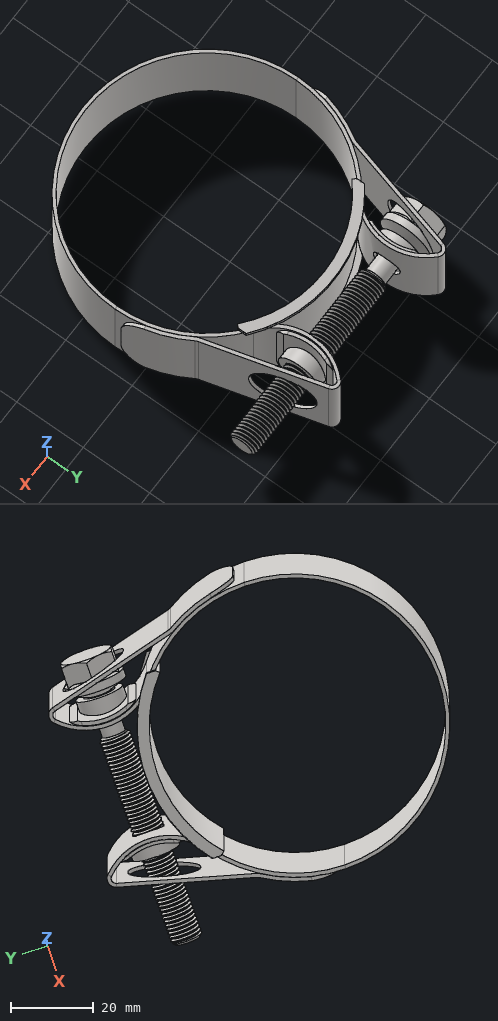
import cadquery as cq
import math


strap_width = 25.1
strap_thickness = 1.0
ring_inner_radius = 36.5
ring_outer_radius = ring_inner_radius + strap_thickness
hook_inner_radius = 15.65
hook_outer_radius = hook_inner_radius + strap_thickness
loop_outer_radius = 2.2
loop_inner_radius = loop_outer_radius - strap_thickness
leg_tilt = 15.1
heel_radius = 2.8
tail_gap = 0.05
tail_inner_radius = ring_outer_radius + tail_gap
tail_outer_radius = tail_inner_radius + strap_thickness
tail_tip_y = 2.6
tail_corner_length = 6.1
tail_corner_width = 8.9

bolt_y = 42.9
thread_radius = 4.0
thread_pitch = 1.0
thread_depth = 0.61
thread_chamfer = 0.9
root_radius = thread_radius - thread_depth
root_overlap = 0.05
ridge_half_width = 0.48 * thread_pitch
crest_half_width = 0.06 * thread_pitch
turns_per_slice = 11
envelope_margin = 0.05
sewing_tolerance = 0.001
thread_start_x = -10.2
bolt_end_x = 44.1
shank_radius = 3.0
hex_across_flats = 12.95
hex_start_x = -30.8
collar_start_x = -25.7
collar_rim_start_x = -24.9
collar_rim_end_x = -22.7
collar_start_radius = 6.7
collar_radius = 7.5
hex_chamfer_angle = 30.0

saddle_face_x = -20.9
saddle_chord_x = -18.3
saddle_thickness = 1.0
saddle_width = 23.3
saddle_corner_radius = 2.8
boss_radius = 6.1

leg_hole_radius = 8.1
leg_hole_stretch = 0.9

bridge_thickness = 1.2
bridge_inner_radius = ring_inner_radius - bridge_thickness
bridge_flange_radius = 38.3
bridge_half_length = 24.2

hook_y = bolt_y
hook_x = -math.sqrt((hook_inner_radius + ring_outer_radius) ** 2 - hook_y**2)
hook_angle = math.degrees(math.atan2(hook_y, hook_x))

loop_top_y = 93.15 - ring_outer_radius
loop_y = loop_top_y - loop_outer_radius
loop_offset = hook_outer_radius - loop_outer_radius
loop_x = hook_x + math.sqrt(loop_offset**2 - (loop_y - hook_y) ** 2)
loop_angle = math.degrees(math.atan2(loop_y - hook_y, loop_x - hook_x))


def polar(center, radius, angle):
    """Point at an angle in degrees on a circle."""
    turn = math.radians(angle)
    return (center[0] + radius * math.cos(turn), center[1] + radius * math.sin(turn))


def curved_strip(center, inner_radius, outer_radius, start, end, height):
    """Part of a ring between two angles, centred on Z = 0."""
    middle = (start + end) / 2
    return (
        cq.Workplane("XY", origin=(0, 0, -height / 2))
        .moveTo(*polar(center, inner_radius, start))
        .threePointArc(polar(center, inner_radius, middle), polar(center, inner_radius, end))
        .lineTo(*polar(center, outer_radius, end))
        .threePointArc(polar(center, outer_radius, middle), polar(center, outer_radius, start))
        .close()
        .extrude(height)
    )


def x_cylinder(radius, start_x, end_x):
    """Cylinder on the bolt axis."""
    return (
        cq.Workplane("YZ", origin=(start_x, bolt_y, 0))
        .circle(radius)
        .extrude(end_x - start_x)
    )


def make_leg_and_tail():
    """Straight leg with its hole, the heel bend and the rounded tail of the left loop."""
    loop = (loop_x, loop_y)
    outward = 180 - leg_tilt
    down = 270 - leg_tilt
    heel_foot = polar(loop, loop_outer_radius + heel_radius, outward)
    heel_distance = tail_outer_radius + heel_radius
    step = polar((0, 0), 1, down)
    along = heel_foot[0] * step[0] + heel_foot[1] * step[1]
    excess = heel_foot[0] ** 2 + heel_foot[1] ** 2 - heel_distance**2
    leg_length = -along - math.sqrt(along**2 - excess)
    heel = polar(heel_foot, leg_length, down)
    heel_angle = math.degrees(math.atan2(heel[1], heel[0]))

    leg_top_inner = polar(loop, loop_inner_radius, outward)
    leg_top_outer = polar(loop, loop_outer_radius, outward)
    leg = (
        cq.Workplane("XY", origin=(0, 0, -strap_width / 2))
        .polyline([
            leg_top_inner,
            leg_top_outer,
            polar(leg_top_outer, leg_length, down),
            polar(leg_top_inner, leg_length, down),
        ])
        .close()
        .extrude(strap_width)
    )
    hole_length = 2 * leg_hole_radius + leg_hole_stretch
    leg_hole = (
        cq.Workplane("YZ", origin=(hook_x - hook_outer_radius, bolt_y - leg_hole_stretch / 2, 0))
        .slot2D(hole_length, 2 * leg_hole_radius)
        .extrude(2 * hook_outer_radius)
    )
    leg = leg.cut(leg_hole)

    heel_bend = curved_strip(
        heel, heel_radius, heel_radius + strap_thickness,
        outward - 180, heel_angle - 180, strap_width,
    )
    tip_angle = 180 - math.degrees(math.asin(tail_tip_y / tail_outer_radius))
    tail = curved_strip(
        (0, 0), tail_inner_radius, tail_outer_radius, heel_angle, tip_angle, strap_width
    )
    return leg.union(heel_bend).union(tail.intersect(make_tail_outline()))


def make_tail_outline():
    """Block along X whose lower end is rounded like the tip of the tail."""
    half_width = strap_width / 2
    corner_y = tail_tip_y + tail_corner_length
    flat = half_width - tail_corner_width
    bulge = math.sqrt(0.5)
    mid_y = corner_y - tail_corner_length * bulge
    mid_z = flat + tail_corner_width * bulge
    return (
        cq.Workplane("YZ", origin=(-2 * ring_outer_radius, 0, 0))
        .moveTo(loop_top_y, -half_width)
        .lineTo(corner_y, -half_width)
        .threePointArc((mid_y, -mid_z), (tail_tip_y, -flat))
        .lineTo(tail_tip_y, flat)
        .threePointArc((mid_y, mid_z), (corner_y, half_width))
        .lineTo(loop_top_y, half_width)
        .close()
        .extrude(2 * ring_outer_radius)
    )


def make_strap():
    """Ring with a closed loop at each end of the strip."""
    lower_ring = curved_strip(
        (0, 0), ring_inner_radius, ring_outer_radius, 180, 360, strap_width
    )
    upper_ring = curved_strip(
        (0, 0), ring_inner_radius, ring_outer_radius, hook_angle, 180, strap_width
    )
    hook = curved_strip(
        (hook_x, hook_y), hook_inner_radius, hook_outer_radius,
        hook_angle - 180, loop_angle, strap_width,
    ).cut(x_cylinder(thread_radius, hook_x, 0))
    loop_bend = curved_strip(
        (loop_x, loop_y), loop_inner_radius, loop_outer_radius,
        loop_angle, 180 - leg_tilt, strap_width,
    )
    half = upper_ring.union(hook, clean=False)
    for bend in (loop_bend, make_leg_and_tail()):
        half = half.union(bend, clean=False)
    return lower_ring.union(half, clean=False).union(half.mirror("YZ"), clean=False)


def make_bridge():
    """Curved plate inside the ring with a flange along each edge of the strap."""
    half_angle = math.degrees(math.asin(bridge_half_length / ring_inner_radius))
    plate_height = strap_width + 2 * bridge_thickness
    start, end = 90 - half_angle, 90 + half_angle
    plate = curved_strip(
        (0, 0), bridge_inner_radius, ring_inner_radius, start, end, plate_height
    )
    rim = curved_strip(
        (0, 0), ring_inner_radius, bridge_flange_radius, start, end, plate_height
    )
    trim = cq.Workplane("XY").box(
        2 * bridge_half_length, 4 * bridge_flange_radius, 2 * plate_height
    )
    channel = cq.Workplane("XY").box(
        4 * bridge_half_length, 4 * bridge_flange_radius, strap_width
    )
    return plate.union(rim.intersect(trim).cut(channel))


def make_saddle(side):
    """Curved plate with a bored boss; side is -1 for the left loop and 1 for the right."""
    plate_radius = hook_inner_radius
    half_span = math.sqrt(plate_radius**2 - (saddle_chord_x - hook_x) ** 2)
    blank = (
        cq.Workplane("YZ", origin=(saddle_chord_x, bolt_y, 0))
        .rect(2 * half_span, saddle_width)
        .extrude(plate_radius)
        .edges("|X")
        .fillet(saddle_corner_radius)
    )
    plate_round = (
        cq.Workplane("XY", origin=(hook_x, hook_y, -saddle_width / 2))
        .circle(plate_radius)
        .extrude(saddle_width)
    )
    plate_hollow = (
        cq.Workplane("XY", origin=(hook_x, hook_y, -saddle_width / 2))
        .circle(plate_radius - saddle_thickness)
        .extrude(saddle_width)
    )
    plate = blank.intersect(plate_round).cut(plate_hollow)
    boss = x_cylinder(boss_radius, saddle_face_x, 0).intersect(plate_round)
    bore = x_cylinder(thread_radius, saddle_face_x, 0)
    saddle = plate.union(boss).cut(bore)
    if side > 0:
        saddle = saddle.mirror("YZ")
    return saddle


def make_threaded_rod(length):
    """Rod along Z with one continuous helical ridge around a round core."""
    ridge_base = root_radius - root_overlap
    helix = cq.Wire.makeHelix(thread_pitch, length, root_radius)
    ridge = (
        cq.Workplane("XZ")
        .polyline([
            (ridge_base, -ridge_half_width),
            (thread_radius, -crest_half_width),
            (thread_radius, crest_half_width),
            (ridge_base, ridge_half_width),
        ])
        .close()
        .sweep(cq.Workplane(obj=helix), isFrenet=True)
    )
    core = (
        cq.Workplane("XY", origin=(0, 0, -2 * thread_pitch))
        .circle(root_radius)
        .extrude(length + 4 * thread_pitch)
    )
    return core.union(ridge, clean=False)


def make_thread():
    """Threaded length of the bolt along X, chamfered at both ends.

    Slices of whole turns match end to end, so their outer faces sew into one closed skin.
    """
    length = bolt_end_x - thread_start_x
    slice_length = turns_per_slice * thread_pitch
    slice_count = math.ceil(length / slice_length)
    rod = make_threaded_rod(slice_length + 2 * thread_pitch)
    skin = []
    for index in range(slice_count):
        base_z = index * slice_length
        is_last = index == slice_count - 1
        envelope = (
            cq.Workplane("XY", origin=(0, 0, thread_pitch))
            .circle(thread_radius + envelope_margin)
            .extrude(min(slice_length, length - base_z))
        )
        joints = []
        if index == 0:
            envelope = envelope.faces("<Z").chamfer(thread_chamfer)
        else:
            joints.append("<Z")
        if is_last:
            envelope = envelope.faces(">Z").chamfer(thread_chamfer)
        else:
            joints.append(">Z")
        piece = rod.intersect(envelope, clean=False).translate((0, 0, base_z - thread_pitch))
        inner_faces = [piece.faces(joint).val() for joint in joints]
        skin += [face for face in piece.faces().vals() if not any(face.isSame(f) for f in inner_faces)]
    thread = cq.Solid.makeSolid(cq.occ_impl.shapes.shell(*skin, tol=sewing_tolerance))
    return (
        cq.Workplane(obj=thread)
        .rotate((0, 0, 0), (0, 1, 0), 90)
        .translate((thread_start_x, bolt_y, 0))
    )


def make_bolt():
    """Hexagon bolt with a conical collar under its head."""
    hex_length = collar_rim_start_x - hex_start_x
    corner_radius = hex_across_flats / math.sqrt(3)
    chamfer_length = (corner_radius - hex_across_flats / 2) * math.tan(math.radians(hex_chamfer_angle))
    hexagon = (
        cq.Workplane("YZ", origin=(hex_start_x, bolt_y, 0))
        .polygon(6, 2 * corner_radius)
        .extrude(hex_length)
        .rotate((0, bolt_y, 0), (1, bolt_y, 0), 90)
    )
    hex_envelope = (
        cq.Workplane("XY")
        .polyline([
            (hex_start_x, 0),
            (hex_start_x, hex_across_flats / 2),
            (hex_start_x + chamfer_length, corner_radius),
            (collar_rim_start_x, corner_radius),
            (collar_rim_start_x, 0),
        ])
        .close()
        .revolve(360, (0, 0, 0), (1, 0, 0))
        .translate((0, bolt_y, 0))
    )
    collar_and_shank = (
        cq.Workplane("XY")
        .polyline([
            (collar_start_x, 0),
            (collar_start_x, collar_start_radius),
            (collar_rim_start_x, collar_radius),
            (collar_rim_end_x, collar_radius),
            (saddle_face_x, shank_radius),
            (thread_start_x + thread_chamfer, shank_radius),
            (thread_start_x + thread_chamfer, 0),
        ])
        .close()
        .revolve(360, (0, 0, 0), (1, 0, 0))
        .translate((0, bolt_y, 0))
    )
    head = hexagon.intersect(hex_envelope).union(collar_and_shank)
    return head.union(make_thread(), clean=False)


strap = make_strap()
bridge = make_bridge()
bolt = make_bolt()
saddles = [make_saddle(side) for side in (-1, 1)]

result = cq.Compound.makeCompound(
    [strap.val(), bridge.val(), bolt.val()] + [saddle.val() for saddle in saddles]
)